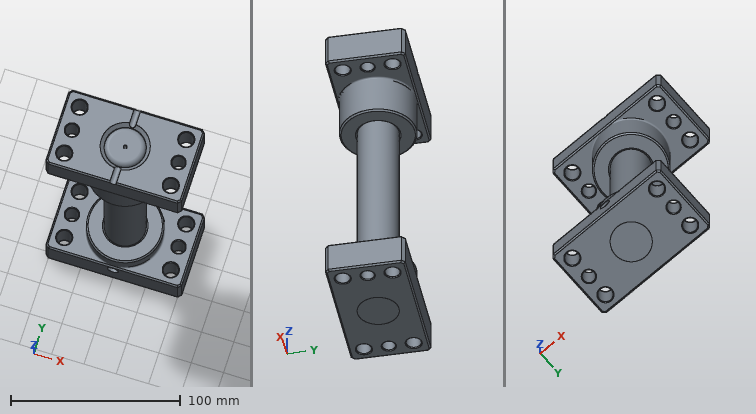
import cadquery as cq

total_height = 180.2

plate_length = 84.0
plate_width = 48.0
plate_height = 20.0
corner_chamfer = 2.0
edge_chamfer = 1.0

boss_diameter = 45.8
lower_boss_height = 10.0
upper_boss_height = 25.0
boss_chamfer = 1.0
boss_fillet = 1.0

pillar_diameter = 24.9
pillar_drop = 0.5
pillar_fillet = 3.0
bore_chamfer = 1.0
centre_hole_diameter = 2.0
centre_hole_depth = 2.0

hole_spacing_x = 66.0
hole_spacing_y = 30.0
screw_hole_diameter = 9.0
dowel_hole_diameter = 8.0
hole_chamfer = 0.5
chamfer_angle = 45

set_screw_diameter = 6.8
set_screw_drop = 5.0

countersink_diameter = 29.5
groove_radius = 2.0


def make_plate():
    """Plate standing on Z = 0, with all its outer edges chamfered."""
    plate = cq.Workplane("XY").box(plate_length, plate_width, plate_height, centered=(True, True, False))
    plate = plate.edges("|Z").chamfer(corner_chamfer)
    return plate.faces("<Z or >Z").chamfer(edge_chamfer)


def make_boss(height):
    """Round boss on top of the plate, with a chamfered free end."""
    boss = cq.Workplane("XY").workplane(offset=plate_height).circle(boss_diameter / 2).extrude(height)
    return boss.faces(">Z").chamfer(boss_chamfer)


def fillet_boss_root(block):
    """Concave fillet where the boss meets the top of the plate."""
    root_edge = cq.selectors.NearestToPointSelector((0, 0, plate_height))
    return block.edges(root_edge).fillet(boss_fillet)


def make_hole_cutter(diameter):
    """Cutter for a hole through the plate, widened to a chamfer at both faces."""
    cutter = cq.Workplane("XY").circle(diameter / 2).extrude(plate_height)
    mouth = cq.Workplane("XY").circle(diameter / 2 + hole_chamfer).extrude(hole_chamfer, taper=chamfer_angle)
    opposite_mouth = mouth.mirror("XY").translate((0, 0, plate_height))
    return cutter.union(mouth).union(opposite_mouth)


def cut_mounting_holes(block):
    """Screw holes at the four corners, with a dowel hole midway between each pair."""
    screw_cutter = make_hole_cutter(screw_hole_diameter)
    dowel_cutter = make_hole_cutter(dowel_hole_diameter)
    for x in (-hole_spacing_x / 2, hole_spacing_x / 2):
        for y in (-hole_spacing_y / 2, hole_spacing_y / 2):
            block = block.cut(screw_cutter.translate((x, y, 0)))
        block = block.cut(dowel_cutter.translate((x, 0, 0)))
    return block


def make_bore_cone(mouth_diameter, mouth_height):
    """Cutter for a 45 degree bore mouth: wide at the given height, narrowing downwards to the bore."""
    mouth_radius = mouth_diameter / 2
    bore_radius = pillar_diameter / 2
    depth = mouth_radius - bore_radius
    cone = cq.Solid.makeCone(
        mouth_radius, bore_radius, depth, cq.Vector(0, 0, mouth_height), cq.Vector(0, 0, -1)
    )
    return cq.Workplane(cone)


def make_block(boss_height):
    """Plate with a boss on its upper side, bored for the pillar."""
    block_height = plate_height + boss_height
    block = fillet_boss_root(make_plate().union(make_boss(boss_height)))
    block = cut_mounting_holes(block)
    block = block.cut(cq.Workplane("XY").circle(pillar_diameter / 2).extrude(block_height))
    return block.cut(make_bore_cone(pillar_diameter + 2 * bore_chamfer, block_height))


def make_lower_block():
    """Lower block with a set-screw hole running from the front face to the pillar."""
    set_screw_hole = (
        cq.Workplane("XZ")
        .center(0, plate_height - set_screw_drop)
        .circle(set_screw_diameter / 2)
        .extrude(plate_width / 2)
    )
    return make_block(lower_boss_height).cut(set_screw_hole)


def make_upper_block():
    """Upper block, boss downwards, with a countersunk bore and a groove across its top."""
    block = make_block(upper_boss_height).mirror("XY").translate((0, 0, total_height))
    groove = (
        cq.Workplane("XZ")
        .center(0, total_height)
        .circle(groove_radius)
        .extrude(plate_width / 2, both=True)
    )
    return block.cut(make_bore_cone(countersink_diameter, total_height)).cut(groove)


def make_pillar():
    """Pillar ending just below the top of the upper block, with a rounded top and a small centre hole."""
    pillar = cq.Workplane("XY").circle(pillar_diameter / 2).extrude(total_height - pillar_drop)
    pillar = pillar.faces(">Z").edges().fillet(pillar_fillet)
    return pillar.faces(">Z").workplane().hole(centre_hole_diameter, centre_hole_depth)


lower_block = make_lower_block()
upper_block = make_upper_block()
pillar = make_pillar()

bodies = [lower_block, upper_block, pillar]
result = cq.Compound.makeCompound([body.solids().val() for body in bodies])